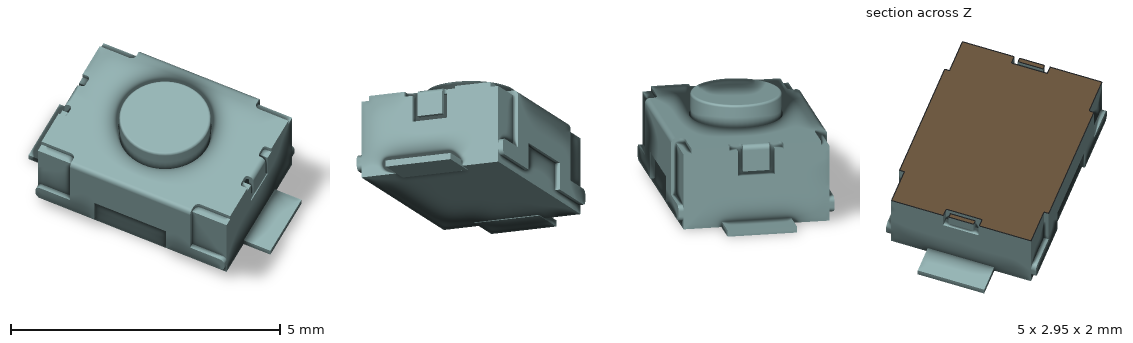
import cadquery as cq

overall_length = 5.0
overall_width = 2.95
overall_height = 2.0

sheet = 0.095
cover_length = 3.9
cover_top = 1.57
core_bottom = 0.015
core_top = cover_top - sheet
core_width = overall_width - 2 * sheet
bend_radius = 0.09

wall_width = 2.486
foot_bottom = 0.165
foot_top = 0.47
foot_end_radius = 0.1
wall_recess_width = 1.49
wall_recess_top = 0.68

corner_cut_width = 0.25
corner_cut_radius = 0.1

tab_width = 0.5
tab_bottom = 1.072
relief_outer_width = 1.014
relief_depth = 0.155
relief_radius = 0.055
slot_width = 0.7
slot_bottom = 0.977
slot_depth = relief_depth

button_diameter = 1.7
button_edge_radius = 0.045
button_hole_diameter = 1.75

terminal_width = 1.31
terminal_thickness = 0.12
terminal_inner_x = 1.69


def block(x_range, y_range, z_range):
    """Box spanning the given (low, high) limits on each axis."""
    limits = (x_range, y_range, z_range)
    size = [high - low for low, high in limits]
    corner = tuple(low for low, high in limits)
    return cq.Workplane("XY").box(*size, centered=False).translate(corner)


def centred(width):
    """Limits of a width that is centred on zero."""
    return (-width / 2, width / 2)


def both_ends(shape):
    """Shape together with its mirror image across the YZ plane."""
    return shape.union(shape.mirror("YZ"))


def both_sides(shape):
    """Shape together with its mirror image across the XZ plane."""
    return shape.union(shape.mirror("XZ"))


def make_core():
    core = block(centred(cover_length), centred(core_width), (core_bottom, core_top))
    slot = block(
        (cover_length / 2 - slot_depth, cover_length / 2),
        centred(slot_width),
        (slot_bottom, core_top),
    )
    return core.cut(both_ends(slot))


def make_top_sheet():
    """Top of the cover, rounded where it bends down into walls and tabs."""
    plate = block(centred(cover_length), centred(overall_width), (core_top, cover_top))
    plate = plate.edges(">Z and |X").fillet(bend_radius)

    corner_cut = block(
        (wall_width / 2, cover_length / 2),
        (overall_width / 2 - corner_cut_width, overall_width / 2),
        (core_top, cover_top),
    )
    corner_cut = corner_cut.edges("|Z and <X and <Y").fillet(corner_cut_radius)

    relief = block(
        (cover_length / 2 - relief_depth, cover_length / 2),
        (tab_width / 2, relief_outer_width / 2),
        (core_top, cover_top),
    )
    relief = relief.edges("|Z and <X").fillet(relief_radius)

    plate = plate.cut(both_ends(both_sides(corner_cut)))
    plate = plate.cut(both_ends(both_sides(relief)))
    button_hole = cq.Workplane("XY").circle(button_hole_diameter / 2).extrude(overall_height)
    return plate.cut(button_hole)


def make_side_walls():
    """Walls hanging from the top sheet, each ending in a long foot with a central recess."""
    wall_y = (core_width / 2, overall_width / 2)
    foot = block(centred(cover_length), wall_y, (foot_bottom, foot_top))
    foot = foot.edges("|Y").fillet(foot_end_radius)
    wall = block(centred(wall_width), wall_y, (foot_bottom, core_top))
    recess = block(centred(wall_recess_width), wall_y, (foot_bottom, wall_recess_top))
    return both_sides(wall.union(foot).cut(recess))


def make_tabs():
    """End tabs bent down into the core slots, with a gap left behind each one."""
    tab = block(
        (cover_length / 2 - sheet, cover_length / 2),
        centred(tab_width),
        (tab_bottom, cover_top),
    )
    return both_ends(tab)


def round_tab_bends(body):
    """Round the outer top edge of each tab."""
    for side in (-1, 1):
        edge_point = (side * cover_length / 2, 0, cover_top)
        bend = body.edges(cq.NearestToPointSelector(edge_point))
        body = bend.fillet(bend_radius)
    return body


def make_button():
    button = cq.Workplane("XY").workplane(offset=core_top).circle(button_diameter / 2)
    button = button.extrude(overall_height - core_top)
    return button.faces(">Z").edges().fillet(button_edge_radius)


def make_terminals():
    terminal = block(
        (terminal_inner_x, overall_length / 2),
        centred(terminal_width),
        (0, terminal_thickness),
    )
    return both_ends(terminal)


cover = make_top_sheet().union(make_side_walls()).union(make_tabs())
cover = round_tab_bends(cover)
result = make_core().union(cover).union(make_button()).union(make_terminals())